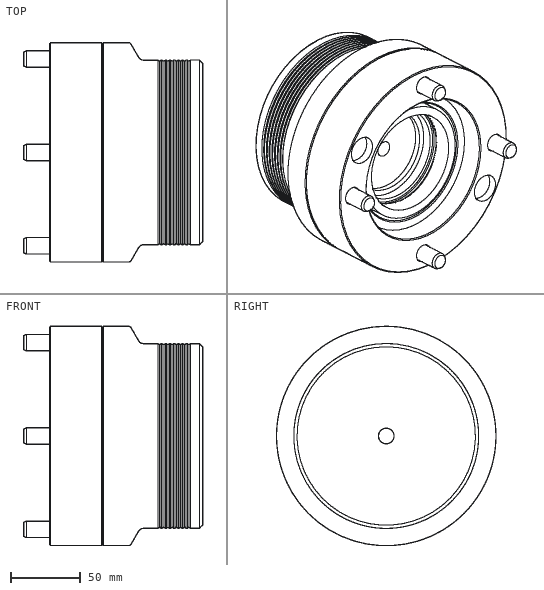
import cadquery as cq
import math


OUTER_RADIUS = 78.5
REAR_FACE = 128.0
FRONT_FACE = 18.5
JOINT_FACE = 56.2
EDGE_CHAMFER = 0.7

MOUTH_RADIUS = 53.2
MOUTH_CHAMFER = 0.8
TAPER_DEPTH = 12.4
TAPER_SLOPE = 1 / 8
FLOOR_FACE = 33.9
FLANGE_BORE_RADIUS = 44.7
FLANGE_BORE_CHAMFER = 0.8

BLIND_HOLE_RADIUS = 9.9
BLIND_HOLE_DEPTH = 6.3
BLIND_HOLE_ANGLES = (30, 210)
DRILL_TIP_ANGLE = 118

PIN_RADIUS = 6.0
PIN_CHAMFER = 1.9
PIN_CHAMFER_DROP = 1.0
PIN_SOCKET_RADIUS = 6.5
PIN_SOCKET_DEPTH = 15.7
PIN_COUNT = 4
HOLE_CIRCLE_RADIUS = 66.7

CONE_START = 76.1
CONE_ANGLE = 60
NECK_RADIUS = 66.1
CONE_FILLET = 3.8
SHOULDER_FILLET = 2.2
NECK_CHAMFER = 2.4
GROOVE_COUNT = 8
GROOVE_PITCH = 3.0
GROOVE_CENTRE = 107.5
GROOVE_HALF_WIDTH = 1.1
GROOVE_DEPTH = 0.8
POCKET_FLOOR = 62.2
CENTRE_HOLE_RADIUS = 5.5

SLEEVE_RADIUS = 42.4
SLEEVE_FACE = 33.3
SLEEVE_BORE_RADIUS = 36.3
RELIEF_START = 47.1
RELIEF_CHAMFER = 0.8
RELIEF_RADIUS = SLEEVE_BORE_RADIUS + RELIEF_CHAMFER
STEP_FACE = 50.9
STEP_RADIUS = 33.9
INNER_STEP_FACE = 58.0
INNER_STEP_RADIUS = 30.0


def turned(points):
    """Revolve a closed (x, radius) outline about the X axis."""
    return cq.Workplane("XZ").polyline(points).close().revolve(360, (0, 0, 0), (1, 0, 0))


def cylinder(x_start, x_end, radius):
    return cq.Workplane("YZ", origin=(x_start, 0, 0)).circle(radius).extrude(x_end - x_start)


def on_hole_circle(angle):
    """(y, z) on the hole circle, with the angle measured from +Y towards +Z."""
    turn = math.radians(angle)
    return HOLE_CIRCLE_RADIUS * math.cos(turn), HOLE_CIRCLE_RADIUS * math.sin(turn)


PIN_PLACES = [on_hole_circle(i * 360 / PIN_COUNT) for i in range(PIN_COUNT)]


def make_pin(y, z):
    tip_radius = PIN_RADIUS - PIN_CHAMFER_DROP
    socket_floor = FRONT_FACE + PIN_SOCKET_DEPTH
    outline = [
        (0, 0),
        (0, tip_radius),
        (PIN_CHAMFER, PIN_RADIUS),
        (socket_floor, PIN_RADIUS),
        (socket_floor, 0),
    ]
    return turned(outline).translate((0, y, z))


def blind_hole(y, z):
    cone_start = FRONT_FACE + BLIND_HOLE_DEPTH
    tip_length = BLIND_HOLE_RADIUS / math.tan(math.radians(DRILL_TIP_ANGLE / 2))
    outline = [
        (FRONT_FACE, 0),
        (FRONT_FACE, BLIND_HOLE_RADIUS),
        (cone_start, BLIND_HOLE_RADIUS),
        (cone_start + tip_length, 0),
    ]
    return turned(outline).translate((0, y, z))


def make_flange():
    taper_end = FRONT_FACE + TAPER_DEPTH
    taper_end_radius = MOUTH_RADIUS - TAPER_DEPTH * TAPER_SLOPE
    flange = turned([
        (FRONT_FACE, MOUTH_RADIUS + MOUTH_CHAMFER),
        (FRONT_FACE, OUTER_RADIUS - EDGE_CHAMFER),
        (FRONT_FACE + EDGE_CHAMFER, OUTER_RADIUS),
        (JOINT_FACE - EDGE_CHAMFER, OUTER_RADIUS),
        (JOINT_FACE, OUTER_RADIUS - EDGE_CHAMFER),
        (JOINT_FACE, FLANGE_BORE_RADIUS),
        (FLOOR_FACE + FLANGE_BORE_CHAMFER, FLANGE_BORE_RADIUS),
        (FLOOR_FACE, FLANGE_BORE_RADIUS + FLANGE_BORE_CHAMFER),
        (FLOOR_FACE, taper_end_radius),
        (taper_end, taper_end_radius),
        (FRONT_FACE + MOUTH_CHAMFER, MOUTH_RADIUS),
    ])
    for y, z in PIN_PLACES:
        socket = cylinder(FRONT_FACE, FRONT_FACE + PIN_SOCKET_DEPTH, PIN_SOCKET_RADIUS)
        flange = flange.cut(socket.translate((0, y, z)))
    for angle in BLIND_HOLE_ANGLES:
        flange = flange.cut(blind_hole(*on_hole_circle(angle)))
    return flange


def edges_at(x):
    """Selector for the circular edges centred on the X axis at x."""
    near = 0.2
    reach = OUTER_RADIUS
    return cq.selectors.BoxSelector((x - near, -reach, -reach), (x + near, reach, reach))


def groove(x):
    """V-groove cutter around the neck, centred at x."""
    return turned([
        (x - GROOVE_HALF_WIDTH, NECK_RADIUS),
        (x, NECK_RADIUS - GROOVE_DEPTH),
        (x + GROOVE_HALF_WIDTH, NECK_RADIUS),
        (x, NECK_RADIUS + GROOVE_DEPTH),
    ])


def make_housing():
    cone_length = (OUTER_RADIUS - NECK_RADIUS) / math.tan(math.radians(CONE_ANGLE))
    cone_end = CONE_START + cone_length
    housing = turned([
        (JOINT_FACE, 0),
        (JOINT_FACE, OUTER_RADIUS - EDGE_CHAMFER),
        (JOINT_FACE + EDGE_CHAMFER, OUTER_RADIUS),
        (CONE_START, OUTER_RADIUS),
        (cone_end, NECK_RADIUS),
        (REAR_FACE - NECK_CHAMFER, NECK_RADIUS),
        (REAR_FACE, NECK_RADIUS - NECK_CHAMFER),
        (REAR_FACE, 0),
    ])
    housing = housing.edges(edges_at(CONE_START)).fillet(SHOULDER_FILLET)
    housing = housing.edges(edges_at(cone_end)).fillet(CONE_FILLET)
    for i in range(GROOVE_COUNT):
        offset = i - (GROOVE_COUNT - 1) / 2
        housing = housing.cut(groove(GROOVE_CENTRE + offset * GROOVE_PITCH))
    housing = housing.cut(cylinder(JOINT_FACE, POCKET_FLOOR, SLEEVE_RADIUS))
    return housing.cut(cylinder(POCKET_FLOOR, REAR_FACE, CENTRE_HOLE_RADIUS))


def make_sleeve():
    chamfer_start = STEP_FACE - RELIEF_CHAMFER
    return turned([
        (SLEEVE_FACE, SLEEVE_BORE_RADIUS),
        (SLEEVE_FACE, SLEEVE_RADIUS),
        (POCKET_FLOOR, SLEEVE_RADIUS),
        (POCKET_FLOOR, INNER_STEP_RADIUS),
        (INNER_STEP_FACE, INNER_STEP_RADIUS),
        (INNER_STEP_FACE, STEP_RADIUS),
        (STEP_FACE, STEP_RADIUS),
        (STEP_FACE, SLEEVE_BORE_RADIUS),
        (chamfer_start, RELIEF_RADIUS),
        (RELIEF_START, RELIEF_RADIUS),
        (RELIEF_START, SLEEVE_BORE_RADIUS),
    ])


flange = make_flange()
housing = make_housing()
sleeve = make_sleeve()
pins = [make_pin(y, z) for y, z in PIN_PLACES]

result = cq.Compound.makeCompound([
    flange.val(),
    housing.val(),
    sleeve.val(),
    *[pin.val() for pin in pins],
])